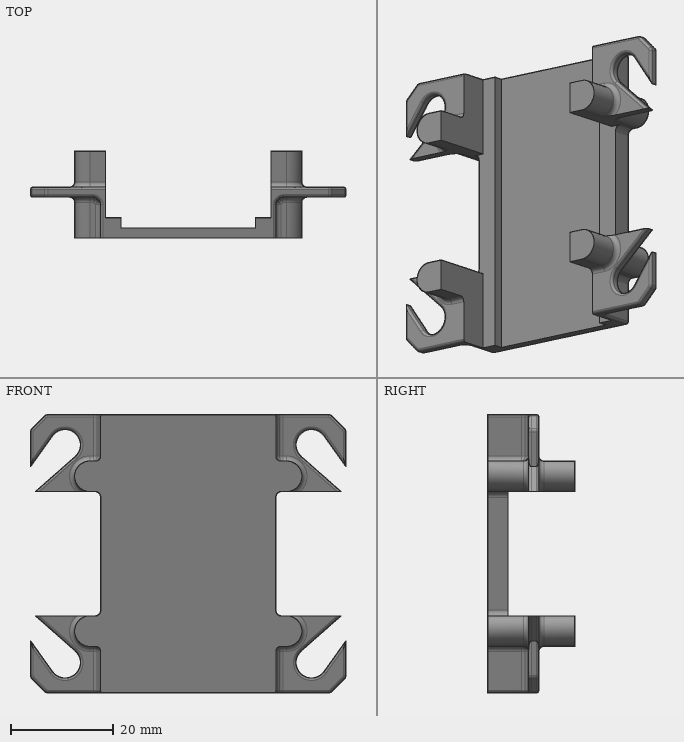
import cadquery as cq
import math

width = 61.6
height = 54.4
depth = 17.0
half_width = width / 2
half_height = height / 2

plate_half_width = 17.1
plate_thickness = 2.05
rail_height = 4.0
rail_width = 4.0

wall_thickness = 1.0
wall_inner_x = plate_half_width - wall_thickness
ear_back = 10.0
ear_thickness = 2.0
ear_bottom = 12.15
ear_front = ear_back - ear_thickness
corner_cut = 3.0
corner_radius = 1.0
edge_radius = 0.5
bend_chamfer = 1.0
bend_radius = 1.0

slot_x = 24.1
slot_z = 21.25
slot_radius = 3.0
upper_wall_angle = 54.5
lower_wall_angle = 41.4
slot_reach = 18.5

post_diameter = 6.0
post_radius = post_diameter / 2
post_x = 19.2
fillet_radius = 1.0
rail_fillet_radius = 1.1
post_z = ear_bottom + post_radius
post_top = post_z + post_radius

blend_margin = 0.1
tolerance = 0.005


def box(x_range, y_range, z_range):
    """Box between the given limits."""
    (x0, x1), (y0, y1), (z0, z1) = x_range, y_range, z_range
    return cq.Workplane("XY").box(x1 - x0, y1 - y0, z1 - z0, centered=False).translate((x0, y0, z0))


def extrude_y(sketch, y0, y1):
    """Extrude an XZ outline from y0 to y1."""
    return sketch.extrude(-(y1 - y0)).translate((0, y0, 0))


def make_plate():
    """Flat plate with two side rails; its corners are left out for the walls of the ears."""
    channel_half_width = plate_half_width - rail_width
    core = box((-wall_inner_x, wall_inner_x), (0, rail_height), (-half_height, half_height))
    middle = box((-plate_half_width, plate_half_width), (0, rail_height), (-ear_bottom, ear_bottom))
    channel = box((-channel_half_width, channel_half_width), (plate_thickness, rail_height),
                  (-half_height, half_height))
    return core.union(middle).cut(channel)


def slot_cutter():
    """Round-ended slot whose two straight walls spread apart from the round end."""
    def tangent_point(normal_angle):
        angle = math.radians(normal_angle)
        return slot_x + slot_radius * math.cos(angle), slot_z + slot_radius * math.sin(angle)

    def far_point(start, wall_angle):
        angle = math.radians(wall_angle)
        return start[0] + slot_reach * math.cos(angle), start[1] - slot_reach * math.sin(angle)

    upper = tangent_point(90 - upper_wall_angle)
    lower = tangent_point(270 - lower_wall_angle)
    middle = tangent_point(180 - (upper_wall_angle + lower_wall_angle) / 2)
    outline = (
        cq.Workplane("XZ")
        .moveTo(*far_point(upper, upper_wall_angle))
        .lineTo(*upper)
        .threePointArc(middle, lower)
        .lineTo(*far_point(lower, lower_wall_angle))
        .close()
    )
    return extrude_y(outline, 0, depth)


def bent_strip(bottom):
    """Wall and ear as one bent strip, running from the given height to the top of the part."""
    bend_start = (plate_half_width, ear_front - bend_chamfer)
    bend_end = (plate_half_width + bend_chamfer, ear_front)
    strip = (
        cq.Workplane("XY")
        .moveTo(wall_inner_x, 0)
        .lineTo(plate_half_width, 0)
        .lineTo(*bend_start)
        .lineTo(*bend_end)
        .lineTo(half_width, ear_front)
        .lineTo(half_width, ear_back)
        .lineTo(wall_inner_x, ear_back)
        .close()
        .extrude(half_height - bottom)
        .translate((0, 0, bottom))
    )
    for corner in (bend_start, bend_end):
        edge_middle = (*corner, (bottom + half_height) / 2)
        strip = strip.edges(cq.NearestToPointSelector(edge_middle)).fillet(bend_radius)
    return strip


def ear_silhouette():
    """Front outline of the ear: a rectangle with its outer top corner cut off and eased."""
    block = box((wall_inner_x, half_width), (0, ear_back), (ear_bottom, half_height))
    block = block.edges(">X and >Z").chamfer(corner_cut)
    cut_edges = block.faces(">X").edges(">Z").vals() + block.faces(">Z").edges(">X").vals()
    return block.newObject(cut_edges).fillet(corner_radius)


def is_rim(edge):
    """True for the edges that follow the ear outline or the slot along the front and back skins."""
    bounds = edge.BoundingBox()
    on_bottom = bounds.zmax < ear_bottom + tolerance
    on_wall_inside = bounds.xmax < wall_inner_x + tolerance
    on_plate_front = bounds.ymax < tolerance
    across_ear = abs(bounds.ylen - ear_thickness) < tolerance
    along_bend = abs(bounds.zlen - (half_height - ear_bottom)) < tolerance
    return not (on_bottom or on_wall_inside or on_plate_front or across_ear or along_bend)


def make_ear():
    """Slotted ear of the +X, +Z corner with its wall, all outline edges rounded."""
    ear = bent_strip(ear_bottom).intersect(ear_silhouette()).cut(slot_cutter())
    return ear.newObject(ear.edges().filter(is_rim).vals()).fillet(edge_radius)


def post_body(radius):
    """Full-depth post around the post axis: round outside, flat in line with the inside of the wall."""
    post = extrude_y(cq.Workplane("XZ").center(post_x, post_z).circle(radius), 0, depth)
    web = box((wall_inner_x, post_x), (0, depth), (post_z - radius, post_z + radius))
    return post.union(web)


def is_post_root(edge):
    """True for the edges where the post meets the bent strip."""
    bounds = edge.BoundingBox()
    inside_post = (bounds.zmin > ear_bottom - tolerance and bounds.zmax < post_top + tolerance
                   and bounds.xmax < post_x + post_radius + tolerance)
    on_end_face = bounds.ymax < tolerance or bounds.ymin > depth - tolerance
    on_wall_inside = bounds.xmax < wall_inner_x + tolerance
    along_post = bounds.xlen < tolerance and bounds.zlen < tolerance
    on_tangent_line = along_post and bounds.xmin > post_x - tolerance
    return inside_post and not (on_end_face or on_wall_inside or on_tangent_line)


def make_post():
    """Post with concave fillets all around its root; only the part above the ear bottom is kept."""
    below_post = ear_bottom - (half_height - post_top)
    strip = bent_strip(below_post)
    joined = strip.union(post_body(post_radius))
    joined = joined.newObject(joined.edges().filter(is_post_root).vals()).fillet(fillet_radius)
    zone = post_body(post_radius + fillet_radius + blend_margin)
    above_bottom = box((wall_inner_x, half_width), (0, depth), (ear_bottom, half_height))
    return joined.intersect(zone).intersect(above_bottom)


def rail_fillet():
    """Concave fillet in the corner between the rail and the underside of the post."""
    inset = rail_fillet_radius * (1 - math.sqrt(0.5))
    outline = (
        cq.Workplane("XZ")
        .moveTo(plate_half_width, ear_bottom)
        .lineTo(plate_half_width + rail_fillet_radius, ear_bottom)
        .threePointArc((plate_half_width + inset, ear_bottom - inset),
                       (plate_half_width, ear_bottom - rail_fillet_radius))
        .close()
    )
    return extrude_y(outline, 0, rail_height)


def make_corner():
    """Everything that sits at the +X, +Z corner of the plate."""
    return make_ear().union(make_post()).union(rail_fillet())


upper_right = make_corner()
right_side = upper_right.union(upper_right.mirror("XY"))
result = make_plate().union(right_side).union(right_side.mirror("YZ"))